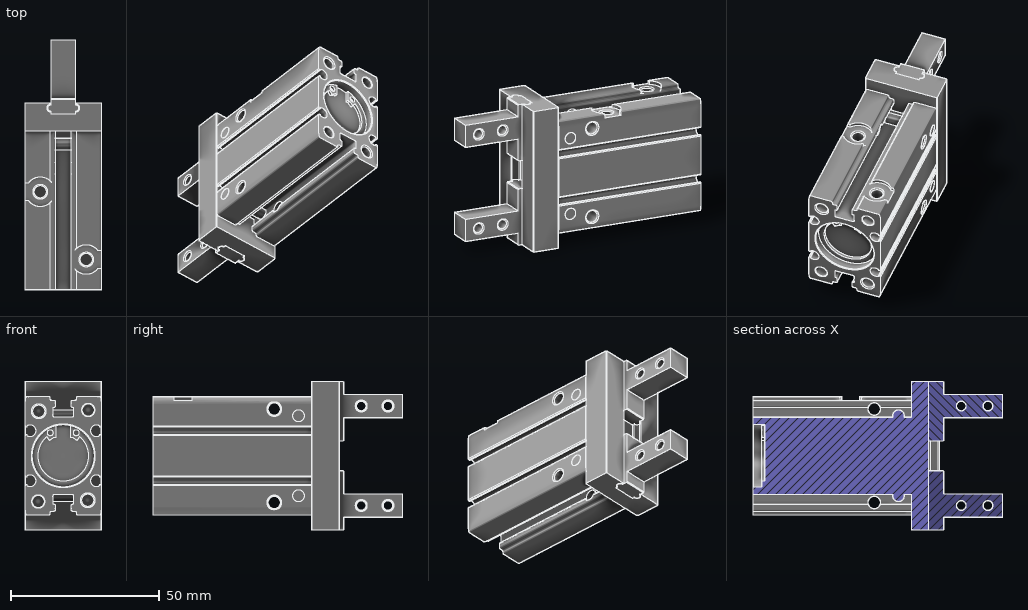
import cadquery as cq
import math

TOTAL_LENGTH = 84.4
WIDTH = 26.0

BODY_LENGTH = 53.6
BODY_HEIGHT = 40.0
FLANK_RADIUS = 8.4
FLANK_FLAT_HEIGHT = 34.8
MOUTH_ROUND = 0.5

FLANGE_END = 63.1
FLANGE_HEIGHT = 50.2
FLANGE_CHAMFER = 0.25

STEP_WIDTH = 8.9
STEP_DEPTH = 1.3
NECK_WIDTH = 5.3
T_WIDTH = 6.9
T_TOP = 16.4
SLOT_FLOOR = 13.1
T_ROUND = 0.3

GROOVE_DIAMETER = 4.0
GROOVE_X = 11.2
GROOVE_Z = 8.4
GROOVE_THROAT = 2.6
GROOVE_CHAMFER = 0.3
GROOVE_LIP = 0.8
GROOVE_ROUND = 0.4

BORE_DIAMETER = 21.0
BORE_CHAMFER = 0.25
RING_DEPTH = 2.95
RING_THICKNESS = 1.0
RING_INNER_DIAMETER = 17.05
RING_GAP = 4.8
RING_HOLE_DIAMETER = 2.0
RING_HOLE_X = 4.4
RING_HOLE_Z = 7.8
LUG_FOOT_X = 3.1
LUG_FOOT_Z = 6.25
LUG_TIP_X = 4.6
LUG_TIP_Z = 5.15
LUG_HEEL_X = 5.6

THREAD_DIAMETER = 4.1
THREAD_CHAMFER = 0.4
THREAD_DEPTH = 10.1
REAR_THREAD_X = 8.3
REAR_THREAD_Z = 15.0

LOCATING_DIAMETER = 4.1
LOCATING_CHAMFER = 0.2
LOCATING_DEPTH = 7.6
LOCATING_X = 8.4
LOCATING_Z = 15.45

CROSS_HOLE_Y = 41.0
CROSS_HOLE_Z = 15.8
PIN_DIAMETER = 4.0
PIN_Y = 49.2
PIN_Z = 13.5
PIN_RECESS = 0.1

PORT_X = 7.8
PORT_FRONT_Y = 33.1
PORT_REAR_Y = 10.2
PORT_RECESS_DIAMETER = 10.0
PORT_NOTCH_WIDTH = 6.0
PORT_DEPTH = 6.75

FINGER_WIDTH = 8.4
FINGER_HEIGHT = 7.9
FINGER_Z = 16.8
BASE_BOTTOM = 59.4
BASE_TOP = 64.6
BASE_INNER_Z = 5.0
BASE_CHAMFER = 0.25
RAIL_Y = 61.4
RAIL_RADIUS = 1.1
RAIL_CLEARANCE = 0.2
FINGER_HOLE_DIAMETER = 3.2
FINGER_HOLE_CHAMFER = 0.4
FINGER_HOLE_YS = (70.4, 79.4)

SIDES = (-1, 1)
TOP = BODY_HEIGHT / 2
FLANK = WIDTH / 2
STEP_FLOOR = TOP - STEP_DEPTH
RING_BACK = RING_DEPTH + RING_THICKNESS


def rear_sketch(y):
    """XZ workplane at depth y whose extrusions run toward +Y; local x is X, local y is -Z."""
    return cq.Workplane(cq.Plane(origin=(0, y, 0), xDir=(1, 0, 0), normal=(0, 1, 0)))


def drilled(start, direction, diameter, depth, chamfer):
    """Cutter for a blind hole with a 45 degree countersink."""
    point = cq.Vector(*start)
    axis = cq.Vector(*direction)
    bore = cq.Solid.makeCylinder(diameter / 2, depth, point, axis)
    sink = cq.Solid.makeCone(diameter / 2 + chamfer, diameter / 2, chamfer, point, axis)
    return cq.Workplane(bore.fuse(sink))


def drilled_through_x(y, z, width, diameter, chamfer):
    """Cutter for a hole along X through a given width, countersunk at both ends."""
    half = drilled((-width / 2, y, z), (1, 0, 0), diameter, width / 2, chamfer)
    return half.union(half.mirror("YZ"))


def body_blank():
    """Block with bulged corners between its flanks and its top and bottom faces."""
    flat = FLANK_FLAT_HEIGHT / 2
    rise = TOP - flat
    edge_x = FLANK - FLANK_RADIUS + math.sqrt(FLANK_RADIUS**2 - rise**2)
    return (
        rear_sketch(0)
        .moveTo(-edge_x, TOP)
        .lineTo(edge_x, TOP)
        .radiusArc((FLANK, flat), FLANK_RADIUS)
        .lineTo(FLANK, -flat)
        .radiusArc((edge_x, -TOP), FLANK_RADIUS)
        .lineTo(-edge_x, -TOP)
        .radiusArc((-FLANK, -flat), FLANK_RADIUS)
        .lineTo(-FLANK, flat)
        .radiusArc((-edge_x, TOP), FLANK_RADIUS)
        .close()
        .extrude(BODY_LENGTH)
    )


def slot_cutter():
    """T-slot of the -Z face, with a wide shallow step at its mouth."""
    right = [
        (T_WIDTH / 2, SLOT_FLOOR),
        (T_WIDTH / 2, T_TOP),
        (NECK_WIDTH / 2, T_TOP),
        (NECK_WIDTH / 2, STEP_FLOOR),
        (STEP_WIDTH / 2, STEP_FLOOR),
        (STEP_WIDTH / 2, TOP),
    ]
    left = [(-x, z) for x, z in reversed(right)]
    return rear_sketch(0).polyline(right + left).close().extrude(BODY_LENGTH)


def groove_cutter():
    """Round groove of the +X flank at +Z, narrowed at its opening by two chamfered lips."""
    half_throat = GROOVE_THROAT / 2
    lip_x = FLANK - GROOVE_LIP
    half_mouth = half_throat + GROOVE_CHAMFER
    throat = [
        (GROOVE_X, half_throat),
        (FLANK - GROOVE_CHAMFER, half_throat),
        (FLANK, half_mouth),
        (FLANK, -half_mouth),
        (FLANK - GROOVE_CHAMFER, -half_throat),
        (GROOVE_X, -half_throat),
    ]
    lips = rear_sketch(0).center(lip_x + GROOVE_DIAMETER / 2, 0).rect(GROOVE_DIAMETER, GROOVE_DIAMETER)
    round_part = (
        rear_sketch(0)
        .center(GROOVE_X, 0)
        .circle(GROOVE_DIAMETER / 2)
        .extrude(BODY_LENGTH)
        .cut(lips.extrude(BODY_LENGTH))
        .edges("|Y and >X")
        .fillet(GROOVE_ROUND)
    )
    mouth = rear_sketch(0).polyline(throat).close().extrude(BODY_LENGTH)
    return round_part.union(mouth).translate((0, 0, GROOVE_Z))


def round_long_edges(body, half_width, low, high, radius):
    """Round the edges along Y that lie in a symmetric X band, between two heights above and below."""
    for bottom, top in ((low, high), (-high, -low)):
        band = cq.selectors.BoxSelector((-half_width, 0, bottom), (half_width, BODY_LENGTH, top))
        body = body.edges("|Y").edges(band).fillet(radius)
    return body


def extruded_body():
    """Constant section of the housing: bulged corners, T-slots and sensor grooves."""
    slot = slot_cutter()
    body = body_blank().cut(slot).cut(slot.mirror("XY"))
    neck_middle = (T_TOP + STEP_FLOOR) / 2
    slot_middle = (T_TOP + SLOT_FLOOR) / 2
    body = round_long_edges(body, FLANK, neck_middle, BODY_HEIGHT, MOUTH_ROUND)
    body = round_long_edges(body, T_WIDTH, slot_middle, neck_middle, T_ROUND)
    body = round_long_edges(body, T_WIDTH, 0, slot_middle, T_ROUND)
    groove = groove_cutter()
    for cutter in (groove, groove.mirror("XY")):
        body = body.cut(cutter).cut(cutter.mirror("YZ"))
    return body


def retaining_ring():
    """Ring with two plier lugs either side of a gap at the top."""
    bore_radius = BORE_DIAMETER / 2
    ring = rear_sketch(RING_DEPTH).circle(bore_radius).circle(RING_INNER_DIAMETER / 2).extrude(RING_THICKNESS)
    disc = rear_sketch(RING_DEPTH).circle(bore_radius).extrude(RING_THICKNESS)
    gap_edge = RING_GAP / 2
    for side in SIDES:
        lug = [
            (side * gap_edge, -bore_radius),
            (side * gap_edge, -LUG_FOOT_Z),
            (side * LUG_FOOT_X, -LUG_FOOT_Z),
            (side * LUG_TIP_X, -LUG_TIP_Z),
            (side * LUG_HEEL_X, -math.sqrt((RING_INNER_DIAMETER / 2) ** 2 - LUG_HEEL_X**2)),
            (side * LUG_HEEL_X, -bore_radius),
        ]
        lug_block = rear_sketch(RING_DEPTH).polyline(lug).close().extrude(RING_THICKNESS)
        ring = ring.union(lug_block.intersect(disc))
    gap = rear_sketch(RING_DEPTH).center(0, -bore_radius).rect(RING_GAP, bore_radius).extrude(RING_THICKNESS)
    holes = (
        rear_sketch(RING_DEPTH)
        .pushPoints([(side * RING_HOLE_X, -RING_HOLE_Z) for side in SIDES])
        .circle(RING_HOLE_DIAMETER / 2)
        .extrude(RING_THICKNESS)
    )
    return ring.cut(gap).cut(holes)


def rear_bore():
    """Cutter for the chamfered rear bore, leaving the retaining ring in it."""
    bore = drilled((0, 0, 0), (0, 1, 0), BORE_DIAMETER, RING_BACK, BORE_CHAMFER)
    return bore.cut(retaining_ring())


def port_cutter(side, y):
    """Flat port recess opening onto one flank, with a countersunk blind hole."""
    recess = (
        cq.Workplane("XY", origin=(side * PORT_X, y, STEP_FLOOR))
        .circle(PORT_RECESS_DIAMETER / 2)
        .extrude(STEP_DEPTH)
    )
    notch = (
        cq.Workplane("XY", origin=(side * (PORT_X + FLANK) / 2, y, STEP_FLOOR))
        .rect(FLANK - PORT_X, PORT_NOTCH_WIDTH)
        .extrude(STEP_DEPTH)
    )
    hole = drilled((side * PORT_X, y, STEP_FLOOR), (0, 0, -1), THREAD_DIAMETER, PORT_DEPTH, THREAD_CHAMFER)
    return recess.union(notch).union(hole)


def rails(radius, z_start, length):
    """Pair of round rails along Z on the two sides of a finger base."""
    return (
        cq.Workplane("XY", origin=(0, RAIL_Y, z_start))
        .pushPoints([(side * FINGER_WIDTH / 2, 0) for side in SIDES])
        .circle(radius)
        .extrude(length)
    )


def finger_guide():
    """Cutter along Z for the finger bases: a rectangular channel with two round rail grooves."""
    channel = (
        cq.Workplane("XY", origin=(0, 0, -FLANGE_HEIGHT / 2))
        .center(0, (BASE_BOTTOM + FLANGE_END) / 2)
        .rect(FINGER_WIDTH, FLANGE_END - BASE_BOTTOM)
        .extrude(FLANGE_HEIGHT)
    )
    return channel.union(rails(RAIL_RADIUS + RAIL_CLEARANCE, -FLANGE_HEIGHT / 2, FLANGE_HEIGHT))


def make_housing():
    flange = (
        rear_sketch(BODY_LENGTH)
        .rect(WIDTH, FLANGE_HEIGHT)
        .extrude(FLANGE_END - BODY_LENGTH)
        .edges("|Z")
        .chamfer(FLANGE_CHAMFER)
    )
    housing = extruded_body().union(flange).cut(finger_guide()).cut(rear_bore())

    for side in SIDES:
        thread_start = (side * REAR_THREAD_X, 0, -side * REAR_THREAD_Z)
        locating_start = (side * LOCATING_X, 0, side * LOCATING_Z)
        housing = housing.cut(drilled(thread_start, (0, 1, 0), THREAD_DIAMETER, THREAD_DEPTH, THREAD_CHAMFER))
        housing = housing.cut(
            drilled(locating_start, (0, 1, 0), LOCATING_DIAMETER, LOCATING_DEPTH, LOCATING_CHAMFER)
        )

    for side in SIDES:
        housing = housing.cut(
            drilled_through_x(CROSS_HOLE_Y, side * CROSS_HOLE_Z, WIDTH, THREAD_DIAMETER, THREAD_CHAMFER)
        )
        pin_seat = (
            cq.Workplane("YZ", origin=(-FLANK, PIN_Y, side * PIN_Z)).circle(PIN_DIAMETER / 2).extrude(WIDTH)
        )
        pin_length = WIDTH - 2 * PIN_RECESS
        pin = (
            cq.Workplane("YZ", origin=(-pin_length / 2, PIN_Y, side * PIN_Z))
            .circle(PIN_DIAMETER / 2)
            .extrude(pin_length)
        )
        housing = housing.cut(pin_seat).union(pin)

    return housing.cut(port_cutter(-1, PORT_FRONT_Y)).cut(port_cutter(1, PORT_REAR_Y))


def make_finger():
    """Upper finger: a sliding base with side rails and a jaw with two cross holes."""
    base_end = FLANGE_HEIGHT / 2
    base_outline = [
        (BASE_BOTTOM, BASE_INNER_Z),
        (BASE_TOP - BASE_CHAMFER, BASE_INNER_Z),
        (BASE_TOP, BASE_INNER_Z + BASE_CHAMFER),
        (BASE_TOP, base_end - BASE_CHAMFER),
        (BASE_TOP - BASE_CHAMFER, base_end),
        (BASE_BOTTOM, base_end),
    ]
    base = cq.Workplane("YZ").polyline(base_outline).close().extrude(FINGER_WIDTH / 2, both=True)
    jaw = (
        rear_sketch(BASE_BOTTOM)
        .center(0, -FINGER_Z)
        .rect(FINGER_WIDTH, FINGER_HEIGHT)
        .extrude(TOTAL_LENGTH - BASE_BOTTOM)
    )
    finger = base.union(jaw).union(rails(RAIL_RADIUS, BASE_INNER_Z, base_end - BASE_INNER_Z))
    for y in FINGER_HOLE_YS:
        finger = finger.cut(
            drilled_through_x(y, FINGER_Z, FINGER_WIDTH, FINGER_HOLE_DIAMETER, FINGER_HOLE_CHAMFER)
        )
    return finger


housing = make_housing()
upper_finger = make_finger()
fingers = [upper_finger, upper_finger.mirror("XY")]

result = cq.Compound.makeCompound([housing.val(), *[finger.val() for finger in fingers]])